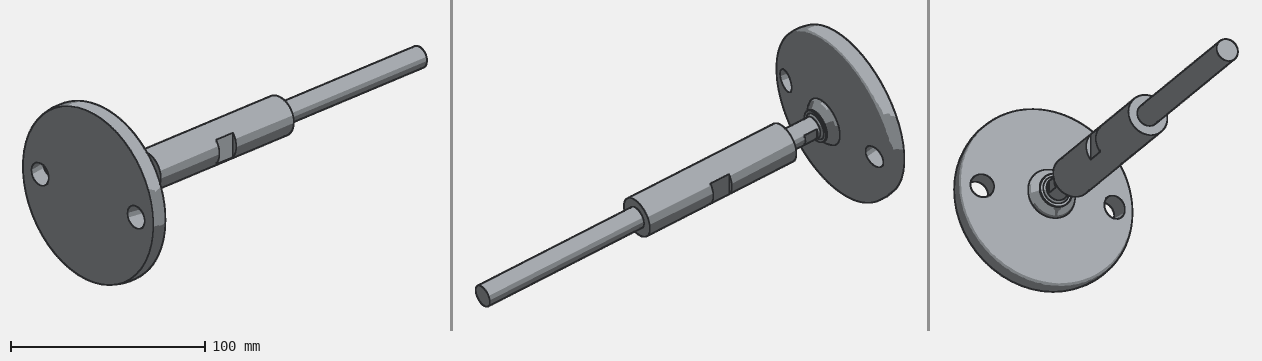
import cadquery as cq
import math


total_length = 237.0
spindle_diameter = 12.0
spindle_flat_start = 23.7
spindle_flat_length = 8.0
spindle_flat_width = 10.2
collar_cone_top = 22.0
collar_cone_bottom_radius = 7.3
collar_radius = 9.0
collar_thickness = 1.0

sleeve_diameter = 22.0
sleeve_start = 41.5
sleeve_length = 95.3
sleeve_flat_start = 83.5
sleeve_flat_length = 12.0
sleeve_flat_width = 17.0

foot_diameter = 98.0
foot_sole_diameter = 96.7
foot_edge_diameter = 97.9
foot_widest_height = 3.5
foot_rim_height = 9.2
foot_rim_rounding = 2.5
foot_height = 20.0
hub_top_radius = 8.5
hub_base_radius = 13.3
hub_base_height = 15.0
hub_band_height = 16.4
hub_band_radius = 12.3

mount_hole_diameter = 12.5
mount_hole_offset = 35.5
mount_hole_reach = 23.7

spindle_radius = spindle_diameter / 2
collar_top = foot_height + collar_thickness
foot_edge_radius = foot_edge_diameter / 2
dish_slope = math.atan2(hub_base_height - foot_rim_height, foot_edge_radius - hub_base_radius)


def cylinder_along_y(diameter, start, length):
    """Solid cylinder on the Y axis, from y = start to y = start + length."""
    return cq.Workplane("XZ", origin=(0, start, 0)).circle(diameter / 2).extrude(-length)


def cut_flats(body, diameter, start, length, across_flats):
    """Cut two opposite wrench flats, facing -X and +X, into a round body."""
    middle = start + length / 2
    stock = cq.Workplane("XY").box(2 * diameter, length, 2 * diameter)
    core = cq.Workplane("XY").box(across_flats, length, 2 * diameter)
    return body.cut(stock.cut(core).translate((0, middle, 0)))


def make_spindle():
    """Rod running through the sleeve, with a flared collar resting on the foot."""
    spindle = (
        cq.Workplane("XY")
        .moveTo(0, foot_height)
        .lineTo(collar_radius, foot_height)
        .lineTo(collar_radius, collar_top)
        .lineTo(collar_cone_bottom_radius, collar_top)
        .lineTo(spindle_radius, collar_cone_top)
        .lineTo(spindle_radius, total_length)
        .lineTo(0, total_length)
        .close()
        .revolve(360, (0, 0, 0), (0, 1, 0))
    )
    return cut_flats(spindle, spindle_diameter, spindle_flat_start, spindle_flat_length, spindle_flat_width)


def make_sleeve():
    """Round sleeve with a spindle bore and two wrench flats."""
    sleeve = cylinder_along_y(sleeve_diameter, sleeve_start, sleeve_length)
    bore = cylinder_along_y(spindle_diameter, sleeve_start, sleeve_length)
    sleeve = sleeve.cut(bore)
    return cut_flats(sleeve, sleeve_diameter, sleeve_flat_start, sleeve_flat_length, sleeve_flat_width)


def make_mount_hole(side):
    """Cutter square to the dished face; side is -1 or +1 along X."""
    direction = cq.Vector(side * math.sin(dish_slope), math.cos(dish_slope), 0)
    sole_centre = cq.Vector(side * mount_hole_offset, 0, 0)
    start = sole_centre - direction * mount_hole_reach
    return cq.Solid.makeCylinder(mount_hole_diameter / 2, 2 * mount_hole_reach, start, direction)


def make_foot():
    """Dished round foot with a conical hub and two slanted mounting holes."""
    foot = (
        cq.Workplane("XY")
        .lineTo(foot_sole_diameter / 2, 0)
        .lineTo(foot_diameter / 2, foot_widest_height)
        .lineTo(foot_edge_radius, foot_rim_height)
        .lineTo(hub_base_radius, hub_base_height)
        .lineTo(hub_band_radius, hub_band_height)
        .lineTo(hub_top_radius, foot_height)
        .lineTo(0, foot_height)
        .close()
        .revolve(360, (0, 0, 0), (0, 1, 0))
    )
    rim_corner = cq.selectors.NearestToPointSelector((foot_edge_radius, foot_rim_height, 0))
    foot = foot.edges("%CIRCLE").edges(rim_corner).fillet(foot_rim_rounding)
    for side in (-1, 1):
        foot = foot.cut(cq.Workplane(obj=make_mount_hole(side)))
    return foot


spindle = make_spindle()
sleeve = make_sleeve()
foot = make_foot()

result = cq.Compound.makeCompound([spindle.val(), sleeve.val(), foot.val()])